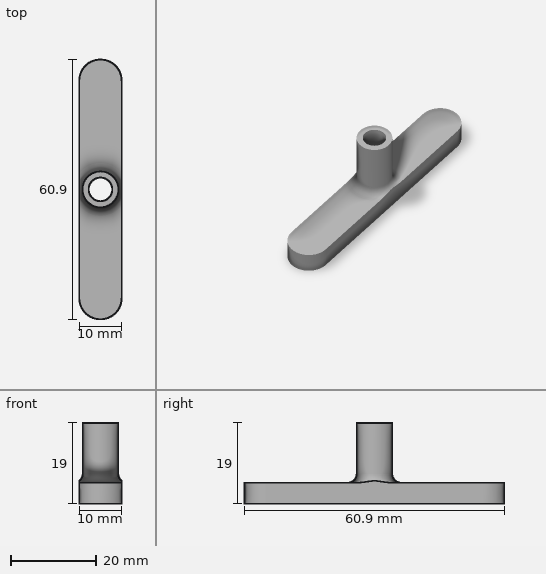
import cadquery as cq

bar_length = 60.9
bar_width = 10.0
bar_thickness = 5.0

total_height = 19.0
post_diameter = 8.4
bore_diameter = 5.5
flare_radius = 2.0


def rounded_bar(height):
    """Round-ended bar lying along Y, with its underside at Z = 0."""
    return cq.Workplane("XY").slot2D(bar_length, bar_width, 90).extrude(height)


def flared_post():
    """Solid post whose foot sweeps out to the bar's top face in a concave arc."""
    post_radius = post_diameter / 2
    foot_radius = post_radius + flare_radius
    flare_top = bar_thickness + flare_radius
    return (
        cq.Workplane("XZ")
        .lineTo(foot_radius, 0)
        .lineTo(foot_radius, bar_thickness)
        .radiusArc((post_radius, flare_top), flare_radius)
        .lineTo(post_radius, total_height)
        .lineTo(0, total_height)
        .close()
        .revolve(360, (0, 0, 0), (0, 1, 0))
    )


trimmed_post = flared_post().intersect(rounded_bar(total_height))
bore = cq.Workplane("XY").circle(bore_diameter / 2).extrude(total_height)

result = rounded_bar(bar_thickness).union(trimmed_post).cut(bore)